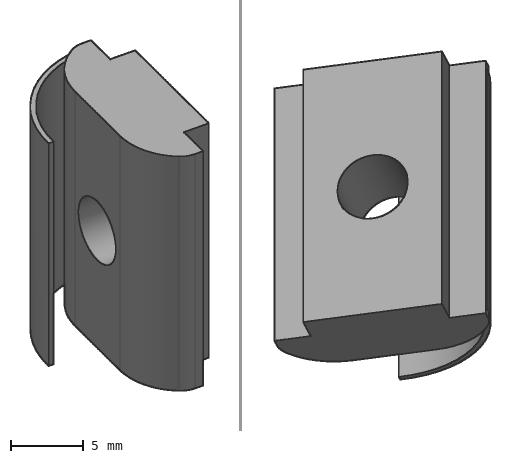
import cadquery as cq
import math

HEIGHT = 20
WIDTH = 15
DEPTH = 6
PAD_WIDTH = 9.85
PAD_DEPTH = 2
FLAT_WIDTH = 6
FRONT_RADIUS = 5
CORNER_RADIUS = 2
HOLE_DIAMETER = 5

LEAF_RADIUS = 8
LEAF_THICKNESS = 0.4
LEAF_HEIGHT = 19
LEAF_BOTTOM = 0.55
LEAF_END_X = 0.75
TOTAL_DEPTH = 10.35
LEAF_OVERHANG = 0.005


def point_on(center, radius, angle):
    return (center[0] + radius * math.cos(angle), center[1] + radius * math.sin(angle))


def mirrored(point):
    return (-point[0], point[1])


def make_body():
    """Stepped prism whose front corners are two tangent arcs each."""
    half_width = WIDTH / 2
    half_pad = PAD_WIDTH / 2
    half_flat = FLAT_WIDTH / 2
    front_center = (half_flat, FRONT_RADIUS - DEPTH)
    corner_x = half_width - CORNER_RADIUS
    blend_angle = -math.acos((corner_x - half_flat) / (FRONT_RADIUS - CORNER_RADIUS))
    corner_center = point_on(front_center, FRONT_RADIUS - CORNER_RADIUS, blend_angle)

    side_end = (half_width, corner_center[1])
    corner_mid = point_on(corner_center, CORNER_RADIUS, blend_angle / 2)
    blend = point_on(front_center, FRONT_RADIUS, blend_angle)
    front_mid = point_on(front_center, FRONT_RADIUS, (blend_angle - math.pi / 2) / 2)
    flat_end = (half_flat, -DEPTH)

    return (
        cq.Workplane("XY")
        .moveTo(-half_pad, 0)
        .lineTo(half_pad, 0)
        .lineTo(half_pad, -PAD_DEPTH)
        .lineTo(half_width, -PAD_DEPTH)
        .lineTo(*side_end)
        .threePointArc(corner_mid, blend)
        .threePointArc(front_mid, flat_end)
        .lineTo(*mirrored(flat_end))
        .threePointArc(mirrored(front_mid), mirrored(blend))
        .threePointArc(mirrored(corner_mid), mirrored(side_end))
        .lineTo(-half_width, -PAD_DEPTH)
        .lineTo(-half_pad, -PAD_DEPTH)
        .close()
        .extrude(HEIGHT)
    )


def make_leaf():
    """Thin cylindrical leaf, rooted in the body's left side and open at the front."""
    left_x = -WIDTH / 2 - LEAF_OVERHANG
    center = (left_x + LEAF_RADIUS, LEAF_RADIUS - TOTAL_DEPTH)
    inner_radius = LEAF_RADIUS - LEAF_THICKNESS
    sector_width = LEAF_END_X - left_x
    sector_depth = center[1] + TOTAL_DEPTH
    ring = (
        cq.Workplane("XY", origin=(0, 0, LEAF_BOTTOM))
        .center(*center)
        .circle(LEAF_RADIUS)
        .circle(inner_radius)
        .extrude(LEAF_HEIGHT)
    )
    sector = (
        cq.Workplane("XY", origin=(left_x, -TOTAL_DEPTH, LEAF_BOTTOM))
        .rect(sector_width, sector_depth, centered=False)
        .extrude(LEAF_HEIGHT)
    )
    return ring.intersect(sector)


def make_hole():
    """Cross hole through the body only, centered on its front flat."""
    return (
        cq.Workplane("XZ", origin=(0, 0, HEIGHT / 2))
        .circle(HOLE_DIAMETER / 2)
        .extrude(DEPTH)
    )


result = make_body().cut(make_hole()).union(make_leaf())